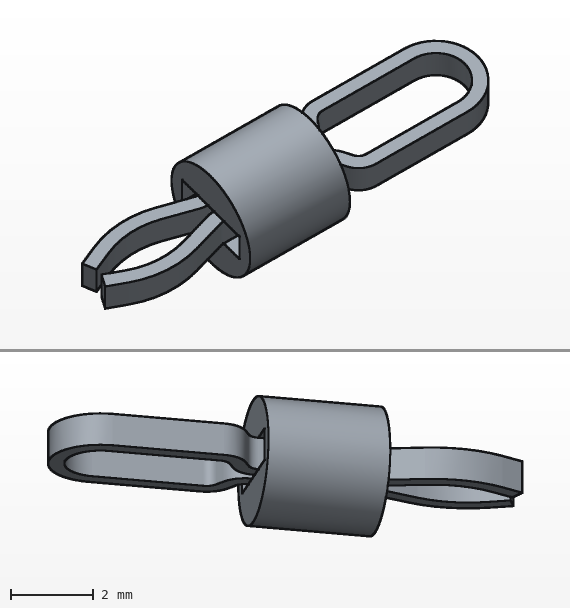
import cadquery as cq
import math

total_length = 11.68

bead_diameter = 3.17
bead_length = 3.04
slot_width = 2.31

strip_thickness = 0.4
strip_height = 0.82
loop_outer_radius = 1.27
loop_straight = 2.78
leg_gap = 0.25
bend_radius = 0.51
neck_angle = 60.0
spread_angle = 17.0
spread_straight = 1.0
bow_radius = 2.6
tip_angle = 24.0

loop_radius = loop_outer_radius - strip_thickness / 2
leg_x = (leg_gap + strip_thickness) / 2
neck_run = loop_radius - leg_x
neck_rad = math.radians(neck_angle)
neck_straight = (neck_run - 2 * bend_radius * (1 - math.cos(neck_rad))) / math.sin(neck_rad)
neck_length = 2 * bend_radius * math.sin(neck_rad) + neck_straight * math.cos(neck_rad)
crown_y = bead_length / 2 + neck_length + loop_straight + loop_radius
tip_y = crown_y + strip_thickness / 2 - total_length

spread_rad = math.radians(spread_angle)
tip_rad = math.radians(tip_angle)
tip_start_y = (
    -bead_length / 2
    - bend_radius * math.sin(spread_rad)
    - spread_straight * math.cos(spread_rad)
    - bow_radius * (math.sin(spread_rad) + math.sin(tip_rad))
)
tip_drop = tip_start_y - tip_y - strip_thickness / 2 * math.sin(tip_rad)
tip_straight = tip_drop / math.cos(tip_rad)


def straight(path, heading, length):
    """Extend the path along a heading, in degrees anticlockwise from +X."""
    angle = math.radians(heading)
    return path.line(length * math.cos(angle), length * math.sin(angle))


def bend(path, heading, turn, radius):
    """Extend the path with a tangent arc; a positive turn is anticlockwise."""
    chord = 2 * radius * math.sin(math.radians(abs(turn)) / 2)
    chord_angle = math.radians(heading + turn / 2)
    end = (chord * math.cos(chord_angle), chord * math.sin(chord_angle))
    return path.tangentArcPoint(end, relative=True)


def make_half_clip():
    """The +X half of the clip, swept from the crown of the loop to the leg tip."""
    down = -90.0
    neck_heading = down - neck_angle
    spread_heading = down + spread_angle
    tip_heading = down - tip_angle

    path = cq.Workplane("XY").moveTo(0, crown_y)
    path = path.radiusArc((loop_radius, crown_y - loop_radius), loop_radius)
    path = straight(path, down, loop_straight)
    path = bend(path, down, -neck_angle, bend_radius)
    path = straight(path, neck_heading, neck_straight)
    path = bend(path, neck_heading, neck_angle, bend_radius)
    path = straight(path, down, bead_length)
    path = bend(path, down, spread_angle, bend_radius)
    path = straight(path, spread_heading, spread_straight)
    path = bend(path, spread_heading, tip_heading - spread_heading, bow_radius)
    path = straight(path, tip_heading, tip_straight)

    section = cq.Workplane("YZ").center(crown_y, 0).rect(strip_thickness, strip_height)
    return section.sweep(path)


def make_clip():
    half = make_half_clip()
    return half.union(half.mirror("YZ")).clean()


def make_bead():
    back_face = cq.Workplane("XZ", origin=(0, bead_length / 2, 0))
    bead = back_face.circle(bead_diameter / 2).extrude(bead_length)
    slot = cq.Workplane("XY").box(slot_width, bead_length, strip_height)
    return bead.cut(slot)


bead = make_bead()
clip = make_clip()
result = cq.Compound.makeCompound([bead.val(), *clip.solids().vals()])